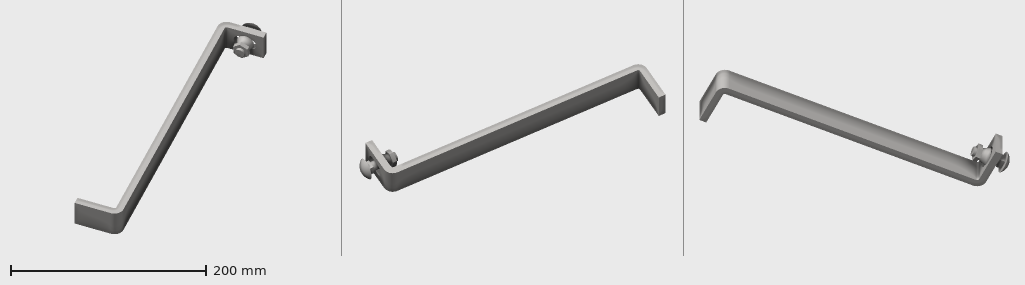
import cadquery as cq
import math

width_x = 92.0
strip_height = 30.0
thickness = 8.0
bracket_length = 300
flange_length = (width_x + thickness) / 2
inner_bend_radius = 2.2
outer_bend_radius = inner_bend_radius + thickness
slot_length = 25.0
slot_width = 14.0
slot_x = 71.5

bolt_x = 72.0
head_top_y = 315.8
head_height = 6.0
head_diameter = 22.7
head_rim = 0.3
neck_side = 10.0
neck_length = 5.7
shank_diameter = 10.0
bolt_end_y = 275.5

nut_turn = 6
nut_flats = 16.0
nut_height = 4.7
cone_seat_diameter = 19
cone_length = 9.0
cone_tip_diameter = 11.7

head_seat_y = head_top_y - head_height
nut_seat_y = bracket_length - thickness


def along_minus_y(start_y):
    """Workplane on the bolt axis whose normal points toward -Y."""
    return cq.Workplane("XZ", origin=(bolt_x, start_y, 0))


def make_bracket():
    web_left = flange_length - thickness
    outline = [
        (0, 0),
        (flange_length, 0),
        (flange_length, bracket_length - thickness),
        (width_x, bracket_length - thickness),
        (width_x, bracket_length),
        (web_left, bracket_length),
        (web_left, thickness),
        (0, thickness),
    ]
    strip = cq.Workplane("XY").polyline(outline).close().extrude(strip_height / 2, both=True)

    def upright_edge(x, y):
        return cq.selectors.NearestToPointSelector((x, y, 0))

    for x, y in [(flange_length, 0), (web_left, bracket_length)]:
        strip = strip.edges("|Z").edges(upright_edge(x, y)).fillet(outer_bend_radius)
    for x, y in [(flange_length, bracket_length - thickness), (web_left, thickness)]:
        strip = strip.edges("|Z").edges(upright_edge(x, y)).fillet(inner_bend_radius)

    slot = (
        cq.Workplane("XZ", origin=(slot_x, bracket_length, 0))
        .slot2D(slot_length, slot_width)
        .extrude(thickness)
    )
    return strip.cut(slot)


def make_bolt():
    head_radius = head_diameter / 2
    dome_height = head_height - head_rim
    dome_radius = (head_radius**2 + dome_height**2) / (2 * dome_height)
    half_angle = math.asin(head_radius / dome_radius) / 2
    dome_mid = (
        dome_radius * math.sin(half_angle),
        head_top_y - dome_radius * (1 - math.cos(half_angle)),
    )
    head = (
        cq.Workplane("XY", origin=(bolt_x, 0, 0))
        .moveTo(0, head_seat_y)
        .lineTo(head_radius, head_seat_y)
        .lineTo(head_radius, head_seat_y + head_rim)
        .threePointArc(dome_mid, (0, head_top_y))
        .close()
        .revolve(360, (0, 0), (0, 1))
    )
    neck = (
        along_minus_y(head_seat_y)
        .rect(neck_side, neck_side)
        .extrude(neck_length)
    )
    shank = along_minus_y(head_seat_y).circle(shank_diameter / 2).extrude(head_seat_y - bolt_end_y)
    return head.union(neck).union(shank)


def make_nut():
    cone = (
        along_minus_y(nut_seat_y)
        .circle(cone_seat_diameter / 2)
        .workplane(offset=cone_length)
        .circle(cone_tip_diameter / 2)
        .loft()
    )
    corner_turn = 90
    across_corners = nut_flats / math.cos(math.pi / 6)
    hexagon = (
        along_minus_y(nut_seat_y - cone_length)
        .transformed(rotate=(0, 0, corner_turn + nut_turn))
        .polygon(6, across_corners)
        .extrude(nut_height)
    )
    bore = along_minus_y(nut_seat_y).circle(shank_diameter / 2).extrude(cone_length + nut_height)
    return cone.union(hexagon).cut(bore)


bracket = make_bracket()
bolt = make_bolt()
nut = make_nut()

result = cq.Compound.makeCompound([bracket.val(), bolt.val(), nut.val()])